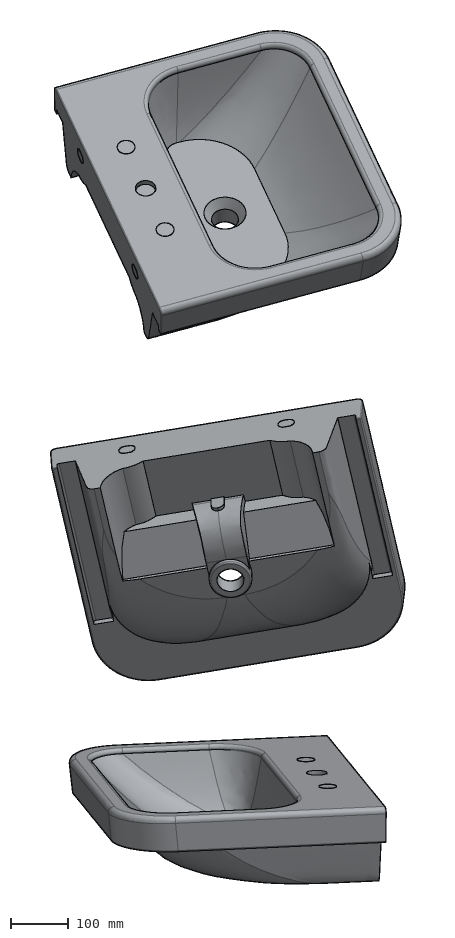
import cadquery as cq
import math


WIDTH = 550.0
DEPTH = 470.0
HEIGHT = 172.0

RIM_HEIGHT = 62.5
RIM_CORNER = 99.0
RIM_SIDE_DRAFT = 2.0
RIM_FRONT_DRAFT = 5.5
RIM_TOP_ROUND = 10.5
RIM_BOTTOM_ROUND = 3.0
LIP_THICKNESS = 10.0
RECESS_DEPTH = 12.0
RECESS_LENGTH = 330.0
RECESS_INNER_X = 228.0
RECESS_ROUND = 3.5
BACK_EDGE_ROUND = 1.5

BODY_TOP_Z = -47.5
BODY_BOTTOM_Z = -148.5
BODY_TOP_HALF_WIDTH = 232.0
BODY_BOTTOM_HALF_WIDTH = 209.0
BODY_FRONT_TOP = 394.0
BODY_FRONT_BOTTOM = 264.0
BODY_TOP_CORNER = 88.0
BODY_BOTTOM_CORNER = 181.5
BODY_BOTTOM_ROUND = 11.0

RIM_LAND_FRONT = 38.0
LAND_ROUND = 7.5
BOWL_TOP_Z = -9.0
BOWL_FLOOR_Z = -133.0
BOWL_HALF_WIDTH = 236.5
BOWL_FLOOR_HALF_WIDTH = 165.0
BOWL_FLOOR_FRONT = 264.0
BOWL_BACK = 137.0
BOWL_FLOOR_BACK = 170.5
BOWL_FRONT_CORNER = 66.0
BOWL_FLOOR_FRONT_CORNER = 110.0
BOWL_BACK_CORNER = 77.0
BOWL_FLOOR_BACK_CORNER = 14.0
BOWL_DEPTH_POWER = 1.5
FLOOR_SPREAD = 0.2

DRAIN_Y = 215.5
DRAIN_RADIUS = 37.0
DRAIN_ROUND = 3.0
DRAIN_HOLE_RADIUS = 23.0
DRAIN_SINK_RADIUS = 36.5
DRAIN_SINK_DEPTH = 16.5
CHANNEL_TOP_HALF_WIDTH = 46.0
CHANNEL_HALF_WIDTH = 36.0
CHANNEL_BOTTOM_Z = -162.0
CHANNEL_BACK = 102.0
PAD_HALF_WIDTH = 11.5
PAD_BOTTOM_Z = -118.0
PAD_ROUND_SHARE = 0.95

ARCH_TOP_Z = -86.5
ARCH_TOP_HALF_WIDTH = 111.5
ARCH_HALF_WIDTH = 187.0
ARCH_THROAT = (126.0, -94.5)
ARCH_SHOULDER = (147.5, -99.0)
ARCH_HAUNCH = (174.5, -117.0)
ARCH_DEPTH_TOP = 115.5
ARCH_BACK_KNEE = (121.0, -111.0)
ARCH_DEPTH_BOTTOM = 198.0
ARCH_END_Z = -141.5

TAP_Y = 70.0
TAP_RADIUS = 17.5
TAP_DEPTH = 10.0
TAP_MARK_RADIUS = 15.5
TAP_MARK_X = 100.0
FIXING_X = 140.0
FIXING_Z = -40.5
FIXING_WIDTH = 28.5
FIXING_HEIGHT = 21.5
MARK_DEPTH = 0.5

OVERLAP = 5.5


def blend(start, end, share):
    return start + (end - start) * share


def rounded_outline(z, half_width, back, front, back_corner, front_corner):
    """Plan outline, symmetric about x = 0, with its own corner radii at the back and the front."""
    back_cut = back_corner * (1 - math.sqrt(0.5))
    front_cut = front_corner * (1 - math.sqrt(0.5))
    outline = (
        cq.Workplane("XY", origin=(0, 0, z))
        .moveTo(back_corner - half_width, back)
        .lineTo(half_width - back_corner, back)
    )
    if back_corner > 0:
        outline = outline.threePointArc(
            (half_width - back_cut, back + back_cut), (half_width, back + back_corner)
        )
    outline = (
        outline.lineTo(half_width, front - front_corner)
        .threePointArc((half_width - front_cut, front - front_cut), (half_width - front_corner, front))
        .lineTo(front_corner - half_width, front)
        .threePointArc((front_cut - half_width, front - front_cut), (-half_width, front - front_corner))
    )
    if back_corner > 0:
        outline = outline.lineTo(-half_width, back + back_corner).threePointArc(
            (back_cut - half_width, back + back_cut), (back_corner - half_width, back)
        )
    return outline.close()


def open_back_outline(z, half_width, front, corner):
    """Plan outline with square back corners on y = 0."""
    return rounded_outline(z, half_width, 0, front, 0, corner)


def loft_through(outlines, ruled=False):
    wires = [outline.val() for outline in outlines]
    return cq.Workplane(cq.Solid.makeLoft(wires, ruled))


def rim():
    """Drafted slab with rounded edges and a recess inside the lip under each side."""
    widest_share = RIM_TOP_ROUND / (RIM_HEIGHT - RIM_TOP_ROUND)
    top = open_back_outline(
        0,
        WIDTH / 2 + RIM_SIDE_DRAFT * widest_share,
        DEPTH + RIM_FRONT_DRAFT * widest_share,
        RIM_CORNER,
    )
    bottom = open_back_outline(
        -RIM_HEIGHT, WIDTH / 2 - RIM_SIDE_DRAFT, DEPTH - RIM_FRONT_DRAFT, RIM_CORNER
    )
    slab = loft_through([top, bottom], ruled=True)
    outer_edges = cq.selectors.BoxSelector(
        (-WIDTH, OVERLAP, -OVERLAP), (WIDTH, DEPTH + OVERLAP, OVERLAP)
    )
    slab = slab.edges(outer_edges).fillet(RIM_TOP_ROUND)
    slab = slab.faces("<Z").edges("not <Y").fillet(RIM_BOTTOM_ROUND)
    inset = RIM_SIDE_DRAFT + LIP_THICKNESS
    recess_width = WIDTH / 2 - inset - RECESS_INNER_X
    recess_x = RECESS_INNER_X + recess_width / 2
    recesses = (
        cq.Workplane("XY", origin=(0, 0, -RIM_HEIGHT))
        .pushPoints([(-recess_x, RECESS_LENGTH / 2), (recess_x, RECESS_LENGTH / 2)])
        .rect(recess_width, RECESS_LENGTH)
        .extrude(RECESS_DEPTH)
        .edges(">Z and |Y")
        .fillet(RECESS_ROUND)
    )
    return slab.cut(recesses)


def underbody():
    """Bowl exterior: straight sloping sides, elliptical sweep from the front to the bottom."""
    steps = 8
    outlines = []
    for step in range(steps + 1):
        angle = math.pi / 2 * step / steps
        drop = math.sin(angle)
        z = blend(BODY_TOP_Z, BODY_BOTTOM_Z, drop)
        below_round_start = max(0, BODY_BOTTOM_ROUND - (z - BODY_BOTTOM_Z))
        tuck = BODY_BOTTOM_ROUND - math.sqrt(BODY_BOTTOM_ROUND**2 - below_round_start**2)
        half_width = blend(BODY_TOP_HALF_WIDTH, BODY_BOTTOM_HALF_WIDTH, drop) - tuck
        front = blend(BODY_FRONT_BOTTOM, BODY_FRONT_TOP, math.cos(angle))
        corner = blend(BODY_TOP_CORNER, BODY_BOTTOM_CORNER, drop)
        outlines.append(open_back_outline(z, half_width, front, corner))
    return loft_through(outlines)


def arch_space():
    """Arched space under the deck, open at the back wall, ending on the bowl's back."""
    below = BODY_BOTTOM_Z - OVERLAP
    arch = (
        cq.Workplane("XZ")
        .moveTo(-ARCH_HALF_WIDTH, below)
        .lineTo(-ARCH_HALF_WIDTH, BODY_BOTTOM_Z)
        .threePointArc((-ARCH_HAUNCH[0], ARCH_HAUNCH[1]), (-ARCH_SHOULDER[0], ARCH_SHOULDER[1]))
        .threePointArc((-ARCH_THROAT[0], ARCH_THROAT[1]), (-ARCH_TOP_HALF_WIDTH, ARCH_TOP_Z))
        .lineTo(ARCH_TOP_HALF_WIDTH, ARCH_TOP_Z)
        .threePointArc(ARCH_THROAT, ARCH_SHOULDER)
        .threePointArc(ARCH_HAUNCH, (ARCH_HALF_WIDTH, BODY_BOTTOM_Z))
        .lineTo(ARCH_HALF_WIDTH, below)
        .close()
        .extrude(-ARCH_DEPTH_BOTTOM)
    )
    reach = (
        cq.Workplane("YZ")
        .moveTo(0, ARCH_TOP_Z)
        .lineTo(ARCH_DEPTH_TOP, ARCH_TOP_Z)
        .lineTo(*ARCH_BACK_KNEE)
        .lineTo(ARCH_DEPTH_BOTTOM, ARCH_END_Z)
        .lineTo(ARCH_DEPTH_BOTTOM, below)
        .lineTo(0, below)
        .close()
        .extrude(WIDTH / 2, both=True)
    )
    return arch.intersect(reach)


def overflow_channel():
    """Channel running down the bowl's back and forward into the drain, with a flat pad."""
    channel = (
        cq.Workplane("YZ")
        .moveTo(CHANNEL_BACK, ARCH_TOP_Z + OVERLAP)
        .lineTo(CHANNEL_BACK, ARCH_TOP_Z - OVERLAP)
        .spline(
            [(DRAIN_Y - DRAIN_RADIUS, CHANNEL_BOTTOM_Z)],
            tangents=[(0, -1), (1, 0)],
            includeCurrent=True,
        )
        .lineTo(DRAIN_Y, CHANNEL_BOTTOM_Z)
        .lineTo(DRAIN_Y, ARCH_TOP_Z + OVERLAP)
        .close()
        .extrude(CHANNEL_TOP_HALF_WIDTH, both=True)
    )
    taper = (
        cq.Workplane("XZ")
        .moveTo(-CHANNEL_TOP_HALF_WIDTH, ARCH_TOP_Z + OVERLAP)
        .lineTo(CHANNEL_TOP_HALF_WIDTH, ARCH_TOP_Z + OVERLAP)
        .lineTo(CHANNEL_HALF_WIDTH, BODY_BOTTOM_Z)
        .lineTo(CHANNEL_HALF_WIDTH, CHANNEL_BOTTOM_Z)
        .lineTo(-CHANNEL_HALF_WIDTH, CHANNEL_BOTTOM_Z)
        .lineTo(-CHANNEL_HALF_WIDTH, BODY_BOTTOM_Z)
        .close()
        .extrude(-DRAIN_Y)
    )
    pad_height = ARCH_TOP_Z + OVERLAP - PAD_BOTTOM_Z
    pad = (
        cq.Workplane("XY", origin=(0, 0, PAD_BOTTOM_Z))
        .rect(2 * PAD_HALF_WIDTH, 2 * OVERLAP)
        .extrude(pad_height)
        .faces("<Z")
        .edges("|Y")
        .fillet(PAD_HALF_WIDTH * PAD_ROUND_SHARE)
        .translate((0, CHANNEL_BACK + OVERLAP / 2, 0))
    )
    return channel.intersect(taper).union(pad)


def drain_outlet():
    return (
        cq.Workplane("XY", origin=(0, DRAIN_Y, -HEIGHT))
        .circle(DRAIN_RADIUS)
        .extrude(HEIGHT + BOWL_FLOOR_Z)
        .faces("<Z")
        .edges()
        .fillet(DRAIN_ROUND)
    )


def bowl_height(spread):
    return blend(BOWL_FLOOR_Z, BOWL_TOP_Z, spread**BOWL_DEPTH_POWER)


def bowl_outline(spread):
    """Rounded bowl outline; spread grows from the floor to 1 at the top."""
    return rounded_outline(
        bowl_height(spread),
        blend(BOWL_FLOOR_HALF_WIDTH, BOWL_HALF_WIDTH, spread),
        blend(BOWL_FLOOR_BACK, BOWL_BACK, spread),
        blend(BOWL_FLOOR_FRONT, DEPTH - RIM_LAND_FRONT, spread),
        blend(BOWL_FLOOR_BACK_CORNER, BOWL_BACK_CORNER, spread),
        blend(BOWL_FLOOR_FRONT_CORNER, BOWL_FRONT_CORNER, spread),
    )


def bowl_space():
    """Hollow of the bowl; its outline widens by a power law from the floor to the rim."""
    steps = 5
    hollow = loft_through(
        [bowl_outline(blend(FLOOR_SPREAD, 1, step / steps)) for step in range(steps + 1)]
    )
    mouth = bowl_outline(1).extrude(-BOWL_TOP_Z)
    return hollow.union(mouth)


def drain_space():
    """Through hole with a conical seat at the bowl floor."""
    hole = (
        cq.Workplane("XY", origin=(0, DRAIN_Y, -HEIGHT))
        .circle(DRAIN_HOLE_RADIUS)
        .extrude(HEIGHT)
    )
    floor_z = bowl_height(FLOOR_SPREAD)
    seat = cq.Workplane(
        cq.Solid.makeCone(
            DRAIN_HOLE_RADIUS,
            DRAIN_SINK_RADIUS,
            DRAIN_SINK_DEPTH,
            pnt=cq.Vector(0, DRAIN_Y, floor_z - DRAIN_SINK_DEPTH),
        )
    )
    return hole.union(seat)


def deck_holes():
    """Blind tap hole with a shallow round mark on each side."""
    tap = cq.Workplane("XY").center(0, TAP_Y).circle(TAP_RADIUS).extrude(-TAP_DEPTH)
    marks = (
        cq.Workplane("XY")
        .pushPoints([(-TAP_MARK_X, TAP_Y), (TAP_MARK_X, TAP_Y)])
        .circle(TAP_MARK_RADIUS)
        .extrude(-MARK_DEPTH)
    )
    return tap.union(marks)


def fixing_marks():
    """Shallow oval marks on the back wall for the fixing bolts."""
    return (
        cq.Workplane("XZ")
        .pushPoints([(-FIXING_X, FIXING_Z), (FIXING_X, FIXING_Z)])
        .slot2D(FIXING_WIDTH, FIXING_HEIGHT)
        .extrude(-MARK_DEPTH)
    )


shell = rim().union(underbody()).cut(arch_space())
shell = shell.union(overflow_channel()).union(drain_outlet())
shell = shell.cut(bowl_space())

mouth_edges = cq.selectors.BoxSelector(
    (-BOWL_HALF_WIDTH - OVERLAP, BOWL_BACK - OVERLAP, -MARK_DEPTH),
    (BOWL_HALF_WIDTH + OVERLAP, DEPTH - RIM_LAND_FRONT + OVERLAP, MARK_DEPTH),
)
shell = shell.edges(mouth_edges).fillet(LAND_ROUND)
shell = shell.faces("<Y").edges(">Z").fillet(BACK_EDGE_ROUND)

result = shell.cut(drain_space()).cut(deck_holes()).cut(fixing_marks())